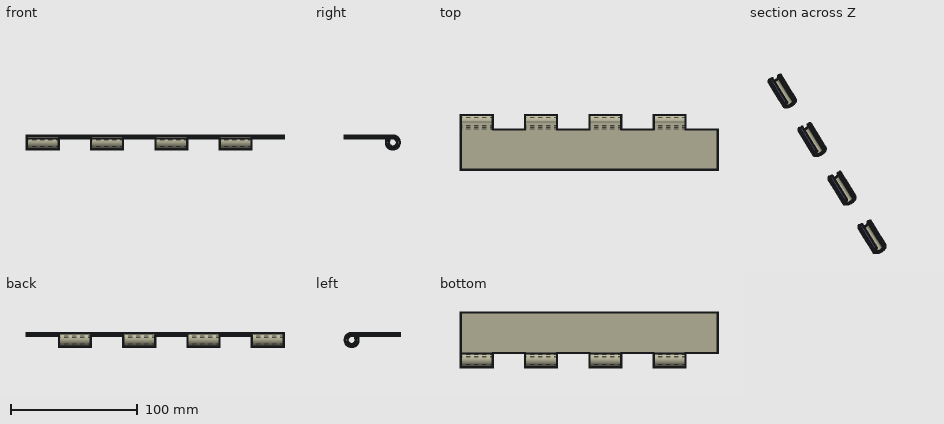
import cadquery as cq
import math

length = 203.2
depth = 43.5
thickness = 2.2
knuckle_diameter = 11.0
notch_depth = 11.4
knuckle_count = 4
curl_end_angle = 33.0

outer_radius = knuckle_diameter / 2
inner_radius = outer_radius - thickness
knuckle_width = length / (2 * knuckle_count)
knuckle_pitch = 2 * knuckle_width
curl_center_y = depth - outer_radius
plate_rear_y = depth - notch_depth


def curl_point(radius, angle):
    """Return the (y, z) point on the curl, whose axis is at z = 0."""
    radians = math.radians(angle)
    return (curl_center_y + radius * math.cos(radians), radius * math.sin(radians))


def make_plate():
    return cq.Workplane("XY").box(length, plate_rear_y, thickness, centered=False).translate(
        (0, 0, inner_radius)
    )


def make_knuckle(start_x):
    """Tangent strip that continues the plate, then rolls down and forward."""
    end_angle = 180 - curl_end_angle
    return (
        cq.Workplane("YZ", origin=(start_x, 0, 0))
        .moveTo(0, outer_radius)
        .lineTo(curl_center_y, outer_radius)
        .threePointArc(curl_point(outer_radius, -45), curl_point(outer_radius, end_angle - 360))
        .lineTo(*curl_point(inner_radius, end_angle))
        .threePointArc(curl_point(inner_radius, -45), curl_point(inner_radius, 90))
        .lineTo(0, inner_radius)
        .close()
        .extrude(knuckle_width)
    )


result = make_plate()
for index in range(knuckle_count):
    result = result.union(make_knuckle(index * knuckle_pitch))